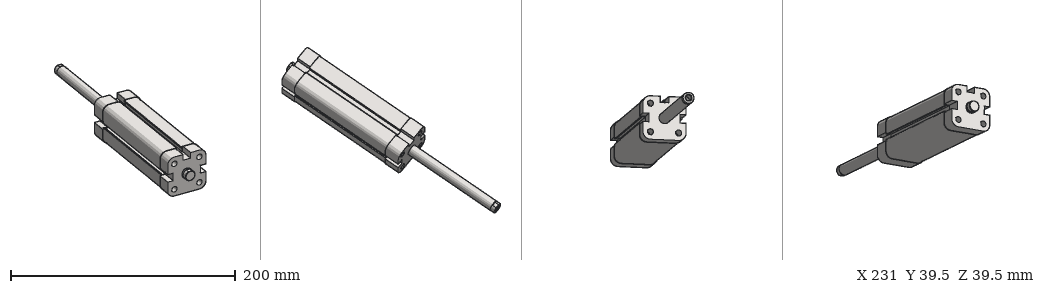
import cadquery as cq

TOTAL_LENGTH = 231.0
FRONT_CAP_START = 95.5
FRONT_CAP_LENGTH = 14.5
BARREL_LENGTH = 101.0
REAR_CAP_LENGTH = 13.9
BARREL_START = FRONT_CAP_START + FRONT_CAP_LENGTH
REAR_CAP_START = BARREL_START + BARREL_LENGTH

CAP_SIDE = 39.5
CORNER_CENTRE = 13.0
CAP_CORNER_RADIUS = CAP_SIDE / 2 - CORNER_CENTRE
BARREL_INSET = 0.5
BARREL_SIDE = CAP_SIDE - 2 * BARREL_INSET
BARREL_CORNER_RADIUS = CAP_CORNER_RADIUS - BARREL_INSET

CAP_BOLT_DIAMETER = 5.3
BARREL_BOLT_DIAMETER = 4.2

SLOT_FLOOR = 14.0
CAP_SLOT_WIDTH = 7.6
BARREL_SLOT_WIDTH = 6.5
SLOT_MOUTH_WIDTH = 4.9
SLOT_LIP_THICKNESS = 1.5
SLOT_ANGLES = (0, 90, -90)

ROD_DIAMETER = 10.2
NECK_DIAMETER = 10.0
NECK_LENGTH = 4.5
FLAT_SPACING = 9.2
FLAT_LENGTH = 4.0
REAR_CHAMFER = 0.5

SOCKET_DIAMETER = 5.0
SOCKET_MOUTH_DIAMETER = 6.2
SOCKET_DEPTH = 9.2
SOCKET_TIP_DEPTH = 1.8


def square_bar(start, length, side, corner_radius):
    """Round-cornered square bar along X."""
    bar = cq.Workplane("YZ", origin=(start, 0, 0)).rect(side, side).extrude(length)
    return bar.edges("|X").fillet(corner_radius)


def round_bar(start, length, diameter):
    """Cylinder on the X axis."""
    return cq.Workplane("YZ", origin=(start, 0, 0)).circle(diameter / 2).extrude(length)


def bolt_holes(start, length, diameter):
    """Four cylinders on the corner centres."""
    pitch = 2 * CORNER_CENTRE
    plane = cq.Workplane("YZ", origin=(start, 0, 0))
    return plane.rect(pitch, pitch, forConstruction=True).vertices().circle(diameter / 2).extrude(length)


def channel(start, length, width, floor, top):
    """Straight channel along X between two heights."""
    return cq.Workplane("XY").box(length, width, top - floor, centered=(False, True, False)).translate(
        (start, 0, floor)
    )


def cut_slots(body, slot):
    """Cut one slot into the top and the two Y faces."""
    for angle in SLOT_ANGLES:
        body = body.cut(slot.rotate((0, 0, 0), (1, 0, 0), angle))
    return body


def make_cap(start, length):
    cap = square_bar(start, length, CAP_SIDE, CAP_CORNER_RADIUS)
    cap = cut_slots(cap, channel(start, length, CAP_SLOT_WIDTH, SLOT_FLOOR, CAP_SIDE / 2))
    cap = cap.cut(bolt_holes(start, length, CAP_BOLT_DIAMETER))
    return cap.cut(round_bar(start, length, ROD_DIAMETER))


def make_barrel():
    surface = BARREL_SIDE / 2
    barrel = square_bar(BARREL_START, BARREL_LENGTH, BARREL_SIDE, BARREL_CORNER_RADIUS)
    cavity = channel(BARREL_START, BARREL_LENGTH, BARREL_SLOT_WIDTH, SLOT_FLOOR, surface - SLOT_LIP_THICKNESS)
    mouth = channel(BARREL_START, BARREL_LENGTH, SLOT_MOUTH_WIDTH, SLOT_FLOOR, surface)
    barrel = cut_slots(barrel, cavity.union(mouth))
    barrel = barrel.cut(bolt_holes(BARREL_START, BARREL_LENGTH, BARREL_BOLT_DIAMETER))
    return barrel.cut(round_bar(BARREL_START, BARREL_LENGTH, ROD_DIAMETER))


def cut_flats(rod, start):
    """Trim one neck of the rod flat on its top and bottom."""
    waste = channel(start, FLAT_LENGTH, NECK_DIAMETER, FLAT_SPACING / 2, NECK_DIAMETER / 2)
    for angle in (0, 180):
        rod = rod.cut(waste.rotate((0, 0, 0), (1, 0, 0), angle))
    return rod


def make_socket():
    """Countersunk blind hole with a conical bottom."""
    radius = SOCKET_DIAMETER / 2
    mouth_radius = SOCKET_MOUTH_DIAMETER / 2
    outline = [
        (0, 0),
        (0, mouth_radius),
        (mouth_radius - radius, radius),
        (SOCKET_DEPTH, radius),
        (SOCKET_DEPTH + SOCKET_TIP_DEPTH, 0),
    ]
    return cq.Workplane("XY").polyline(outline).close().revolve(360, (0, 0), (1, 0))


def make_rod():
    shank = round_bar(NECK_LENGTH, TOTAL_LENGTH - 2 * NECK_LENGTH, ROD_DIAMETER)
    front_neck = round_bar(0, NECK_LENGTH, NECK_DIAMETER)
    rear_neck = round_bar(TOTAL_LENGTH - NECK_LENGTH, NECK_LENGTH, NECK_DIAMETER)
    rear_neck = rear_neck.faces(">X").chamfer(REAR_CHAMFER)
    rod = shank.union(front_neck).union(rear_neck)
    rod = cut_flats(rod, 0)
    rod = cut_flats(rod, TOTAL_LENGTH - FLAT_LENGTH)
    return rod.cut(make_socket())


front_cap = make_cap(FRONT_CAP_START, FRONT_CAP_LENGTH)
rear_cap = make_cap(REAR_CAP_START, REAR_CAP_LENGTH)
barrel = make_barrel()
rod = make_rod()

result = cq.Compound.makeCompound([front_cap.val(), barrel.val(), rear_cap.val(), rod.val()])